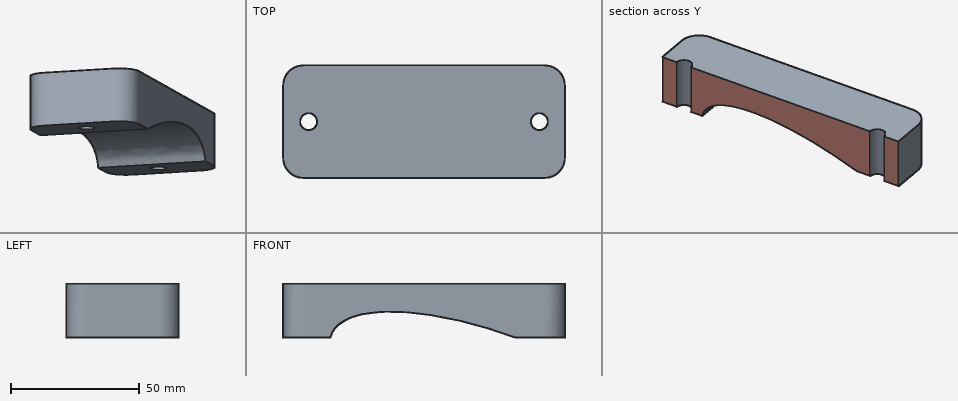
import cadquery as cq

LENGTH = 110.0
WIDTH = 44.0
HEIGHT = 21.0
CORNER_RADIUS = 8.0

HOLE_DIAMETER = 6.5
HOLE_EDGE_DISTANCE = 10.0
HOLE_SPACING = LENGTH - 2 * HOLE_EDGE_DISTANCE

ARCH_START = (-36.5, 0.0)
ARCH_STEEP_CONTROL = (-33.1, 13.9)
ARCH_SHALLOW_CONTROL = (0.2, 13.0)
ARCH_END = (35.5, 0.0)


def make_block():
    """Plain block with rounded vertical edges."""
    block = cq.Workplane("XY").box(LENGTH, WIDTH, HEIGHT, centered=(True, True, False))
    return block.edges("|Z").fillet(CORNER_RADIUS)


def make_arch():
    """Solid filling the arched recess over the full width of the block."""
    profile = (
        cq.Workplane("XZ")
        .moveTo(*ARCH_START)
        .bezier([ARCH_START, ARCH_STEEP_CONTROL, ARCH_SHALLOW_CONTROL, ARCH_END])
        .close()
    )
    return profile.extrude(WIDTH / 2, both=True)


def make_holes():
    """Pair of cylinders filling the through holes."""
    centres = cq.Workplane("XY").rarray(HOLE_SPACING, 1, 2, 1)
    return centres.circle(HOLE_DIAMETER / 2).extrude(HEIGHT)


result = make_block().cut(make_arch()).cut(make_holes())